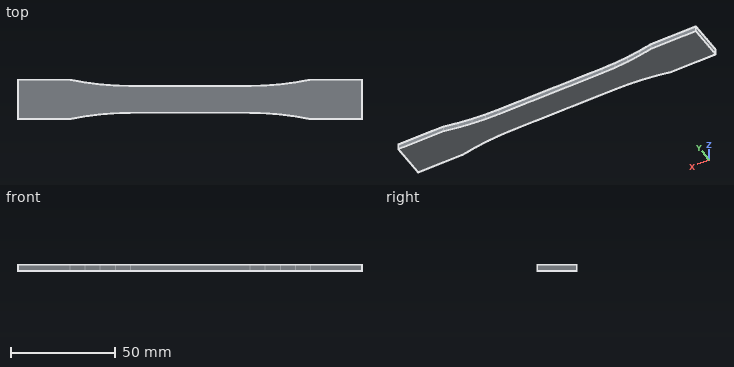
import cadquery as cq
import math

LENGTH = 165.0
GRIP_WIDTH = 19.0
GAUGE_WIDTH = 13.0
GAUGE_LENGTH = 57.1
THICKNESS = 3.1
SHOULDER_LENGTH = 29.0
FLATS_PER_SHOULDER = 4

shoulder_rise = (GRIP_WIDTH - GAUGE_WIDTH) / 2
shoulder_radius = (SHOULDER_LENGTH**2 + shoulder_rise**2) / (2 * shoulder_rise)
shoulder_angle = math.asin(SHOULDER_LENGTH / shoulder_radius)


def shoulder_point(step):
    """Corner between flats on the +X, +Y shoulder, counted from the gauge."""
    angle = shoulder_angle * step / FLATS_PER_SHOULDER
    x = GAUGE_LENGTH / 2 + shoulder_radius * math.sin(angle)
    y = GAUGE_WIDTH / 2 + shoulder_radius * (1 - math.cos(angle))
    return x, y


def make_bar():
    """Extrude the outline, mirrored from one quarter to all four."""
    quarter = [shoulder_point(step) for step in range(FLATS_PER_SHOULDER + 1)]
    quarter.append((LENGTH / 2, GRIP_WIDTH / 2))
    upper_edge = [(-x, y) for x, y in reversed(quarter)] + quarter
    lower_edge = [(x, -y) for x, y in reversed(upper_edge)]
    outline = cq.Workplane("XY").polyline(upper_edge + lower_edge).close()
    return outline.extrude(THICKNESS / 2, both=True)


result = make_bar()